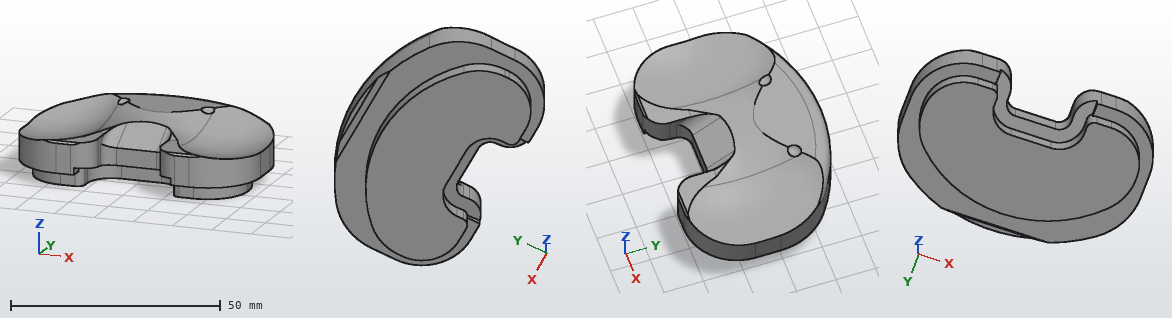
import cadquery as cq
import math

top_z = 14.3
pedestal_height = 3.8
rear_flat_z = 11.8

width = 60.5
depth = 40.65
front_radius = 39.9
side_radius = 16.3
rear_corner_radius = 13.3
leg_corner_radius = 5.15
notch_half_width = 8.1
notch_depth = 9.8
notch_fillet = 3
front_center_y = depth - front_radius

pedestal_inset = 3.25
pedestal_front_inset = 7.45

bearing_center_y = 15.6
saddle_z = 13.3
seam_x = 12.0
seam_z = 10.7
seam_sweep_radius = 37.5
bearing_axis_z = seam_z + seam_sweep_radius
rim_z = 10.0
dish_end_x = 33.85

front_edge_radius = 3.6
rear_chamfer = 0.55
rear_ramp_start_y = 10.5
rear_ramp_end_y = 15.1
rear_ramp_rise = 0.65
ramp_bottom_z = 8.6
ramp_angle = 31
front_relief_z = 6.0
front_relief_y = 38.2
front_relief_top_y = 39.4
rear_relief_half_width = 12.3
rear_relief_z = 5.5
dimple_x = 11.0
dimple_y = 29.8
dimple_radius = 2.1
dimple_depth = 1.0
clearance = 6.05


def plate(inset, front_inset, height):
    """Kidney-shaped plate whose outline is inset from the tray outline."""
    half_width = width / 2 - inset
    front_r = front_radius - front_inset
    side_r = side_radius - inset
    corner_r = rear_corner_radius - inset
    leg_r = leg_corner_radius - inset
    slot_x = notch_half_width + inset
    slot_y = notch_depth + inset
    slot_r = notch_fillet + inset
    rear_corner_x = half_width - corner_r

    side_x = half_width - side_r
    center_span = front_r - side_r
    side_y = front_center_y + math.sqrt(center_span**2 - side_x**2)
    tangent_x = side_x * front_r / center_span
    tangent_y = front_center_y + (side_y - front_center_y) * front_r / center_span

    return (
        cq.Workplane("XY")
        .moveTo(slot_x + leg_r, inset)
        .lineTo(rear_corner_x, inset)
        .radiusArc((half_width, inset + corner_r), -corner_r)
        .lineTo(half_width, side_y)
        .radiusArc((tangent_x, tangent_y), -side_r)
        .radiusArc((-tangent_x, tangent_y), -front_r)
        .radiusArc((-half_width, side_y), -side_r)
        .lineTo(-half_width, inset + corner_r)
        .radiusArc((-rear_corner_x, inset), -corner_r)
        .lineTo(-slot_x - leg_r, inset)
        .radiusArc((-slot_x, inset + leg_r), -leg_r)
        .lineTo(-slot_x, slot_y - slot_r)
        .radiusArc((-slot_x + slot_r, slot_y), slot_r)
        .lineTo(slot_x - slot_r, slot_y)
        .radiusArc((slot_x, slot_y - slot_r), slot_r)
        .lineTo(slot_x, inset + leg_r)
        .radiusArc((slot_x + leg_r, inset), -leg_r)
        .close()
        .extrude(height)
    )


def side_prism(points, half_width):
    """Prism across X, centred on the part, with a (Y, Z) profile."""
    return cq.Workplane("YZ").polyline(points).close().extrude(half_width, both=True)


def front_edge_dome():
    """Disc concentric with the front arc, with a rounded top edge."""
    return (
        cq.Workplane("XY")
        .center(0, front_center_y)
        .circle(front_radius)
        .extrude(top_z)
        .faces(">Z")
        .edges()
        .fillet(front_edge_radius)
    )


def bearing_cutter():
    """Central saddle flowing into a concave dish on each side."""
    drop = saddle_z - seam_z
    saddle_radius = (seam_x**2 + drop**2) / (2 * drop)
    seam_angle = math.asin(seam_x / saddle_radius)

    rim_span = width / 2 - seam_x
    rim_drop = seam_z - rim_z
    dish_radius = (rim_span**2 + rim_drop**2) / (
        2 * (rim_span * math.sin(seam_angle) - rim_drop * math.cos(seam_angle))
    )
    dish_x = seam_x + dish_radius * math.sin(seam_angle)
    dish_center_z = seam_z + dish_radius * math.cos(seam_angle)
    dish_end_z = dish_center_z - math.sqrt(dish_radius**2 - (dish_end_x - dish_x) ** 2)
    dish_bottom = dish_center_z - dish_radius

    return (
        cq.Workplane("XZ", origin=(0, bearing_center_y, 0))
        .moveTo(-dish_end_x, bearing_axis_z)
        .lineTo(-dish_end_x, dish_end_z)
        .threePointArc((-dish_x, dish_bottom), (-seam_x, seam_z))
        .threePointArc((0, saddle_z), (seam_x, seam_z))
        .threePointArc((dish_x, dish_bottom), (dish_end_x, dish_end_z))
        .lineTo(dish_end_x, bearing_axis_z)
        .close()
        .revolve(360, (0, bearing_axis_z, 0), (1, bearing_axis_z, 0))
    )


def rear_top_cutter():
    """Rear flat with a chamfered edge and a gentle ramp ahead of it."""
    return side_prism(
        [
            (-clearance, rear_flat_z - rear_chamfer - clearance),
            (rear_chamfer, rear_flat_z),
            (rear_ramp_start_y, rear_flat_z),
            (rear_ramp_end_y, rear_flat_z + rear_ramp_rise),
            (rear_ramp_end_y, top_z + clearance),
            (-clearance, top_z + clearance),
        ],
        width,
    )


def notch_ramp_cutter():
    """Round-cornered channel climbing forward from the back of the notch."""
    length = 48.4
    height = 18.15
    return (
        cq.Workplane("XY")
        .box(2 * notch_half_width, length, height, centered=(True, True, False))
        .edges("|Y and <Z")
        .fillet(notch_fillet)
        .rotate((0, 0, 0), (1, 0, 0), ramp_angle)
        .translate((0, notch_depth, ramp_bottom_z))
    )


def front_relief():
    """Undercut below the front edge with a sloped back wall."""
    return side_prism(
        [
            (front_relief_y, pedestal_height),
            (front_relief_top_y, front_relief_z),
            (depth + clearance, front_relief_z),
            (depth + clearance, pedestal_height),
        ],
        width,
    )


def rear_relief():
    """Wedge-shaped undercut around the notch, deepest at the rear edge."""
    return side_prism(
        [
            (0, pedestal_height),
            (0, rear_relief_z),
            (notch_depth + pedestal_inset, pedestal_height),
        ],
        rear_relief_half_width,
    )


def dimple(x):
    """Shallow spherical relief at the edge of the front plateau."""
    center_z = top_z - dimple_depth + dimple_radius
    return cq.Workplane("XY").sphere(dimple_radius).translate((x, dimple_y, center_z))


tray = plate(0, 0, top_z - pedestal_height).translate((0, 0, pedestal_height))
tray = tray.intersect(front_edge_dome())
tray = tray.cut(rear_top_cutter())
tray = tray.cut(bearing_cutter())
tray = tray.cut(notch_ramp_cutter())
tray = tray.cut(front_relief())
tray = tray.cut(rear_relief())
for x in (-dimple_x, dimple_x):
    tray = tray.cut(dimple(x))

pedestal = plate(pedestal_inset, pedestal_front_inset, rear_relief_z)
result = tray.union(pedestal)